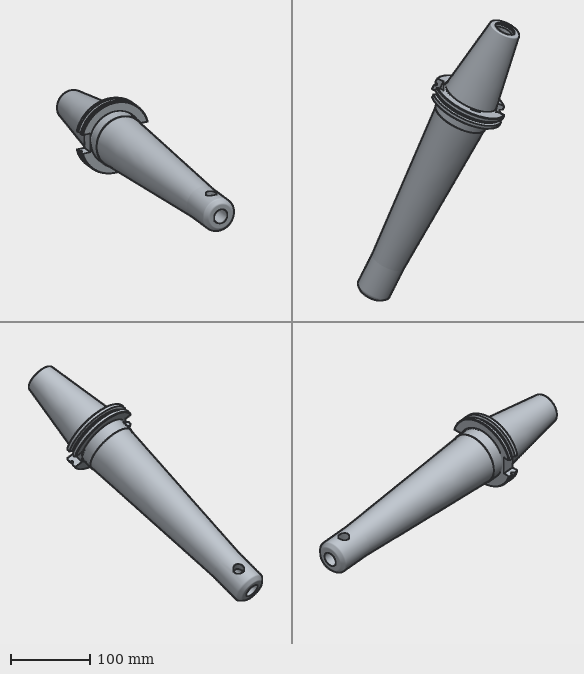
import cadquery as cq
import math

total_length = 406.5
gauge_line = 102.0
flange_front = 104.5
flange_rear = 120.7
collar_end = 136.0
nose_start = 357.0

small_end_diameter = 40.5
neck_diameter = 70.5
collar_diameter = 70.0
shank_start_diameter = 68.5
nose_diameter = 44.5
flange_diameter = 97.0
small_end_rounding = 1.5
nose_chamfer = 5.3
nose_blend = 1.2
root_radius = 1.2
flange_chamfer = 1.0

groove_center = 112.5
groove_width = 5.5
groove_depth = 3.3
groove_half_angle = math.radians(30)

slot_width = 25.5
slot_floor_plus_y = 38.0
slot_floor_minus_y = 35.5

bore_diameter = 19.0
thread_diameter = 22.0
counterbore_diameter = 26.0
mouth_diameter = 27.0
counterbore_depth = 2.5
thread_depth = 44.7
screw_hole_diameter = 14.2
screw_hole_position = 381.0


def make_body():
    """Revolve the tapered holder with its flange and groove about X."""
    flange_radius = flange_diameter / 2
    groove_floor = flange_radius - groove_depth
    groove_half_top = groove_width / 2
    groove_half_floor = groove_half_top - groove_depth * math.tan(groove_half_angle)
    neck_radius = neck_diameter / 2
    collar_radius = collar_diameter / 2
    nose_radius = nose_diameter / 2
    nose_tip_radius = nose_radius - nose_chamfer
    nose_chamfer_start = total_length - nose_chamfer
    blend_diagonal = nose_blend * math.sqrt(0.5)
    profile = (
        cq.Workplane("XY")
        .lineTo(0, small_end_diameter / 2 - small_end_rounding)
        .tangentArcPoint((small_end_rounding, small_end_diameter / 2), relative=False)
        .lineTo(gauge_line, neck_radius)
        .lineTo(flange_front - root_radius, neck_radius)
        .tangentArcPoint((flange_front, neck_radius + root_radius), relative=False)
        .lineTo(flange_front, flange_radius - flange_chamfer)
        .lineTo(flange_front + flange_chamfer, flange_radius)
        .lineTo(groove_center - groove_half_top, flange_radius)
        .lineTo(groove_center - groove_half_floor, groove_floor)
        .lineTo(groove_center + groove_half_floor, groove_floor)
        .lineTo(groove_center + groove_half_top, flange_radius)
        .lineTo(flange_rear - flange_chamfer, flange_radius)
        .lineTo(flange_rear, flange_radius - flange_chamfer)
        .lineTo(flange_rear, collar_radius + root_radius)
        .tangentArcPoint((flange_rear + root_radius, collar_radius), relative=False)
        .lineTo(collar_end, collar_radius)
        .lineTo(collar_end, shank_start_diameter / 2)
        .lineTo(nose_start, nose_radius)
        .lineTo(nose_chamfer_start - nose_blend, nose_radius)
        .tangentArcPoint(
            (nose_chamfer_start + blend_diagonal, nose_radius - blend_diagonal), relative=False
        )
        .lineTo(total_length - blend_diagonal, nose_tip_radius + blend_diagonal)
        .tangentArcPoint((total_length, nose_tip_radius - nose_blend), relative=False)
        .lineTo(total_length, 0)
        .close()
    )
    return profile.revolve(360, (0, 0, 0), (1, 0, 0))


def make_drive_slot(side, floor):
    """Block that cuts one drive slot through the flange on the given Y side."""
    slot_length = flange_rear - flange_front + 2 * root_radius
    slot_depth = flange_diameter / 2 - floor
    middle_x = (flange_front + flange_rear) / 2
    middle_y = side * (floor + slot_depth / 2)
    return cq.Workplane("XY").box(slot_length, slot_depth, slot_width).translate((middle_x, middle_y, 0))


def make_bore():
    """Stepped through bore, opening from the small end of the taper."""
    mouth_cone_depth = (mouth_diameter - counterbore_diameter) / 2
    counterbore_cone_depth = (counterbore_diameter - thread_diameter) / 2
    outline = [
        (0, 0),
        (0, mouth_diameter / 2),
        (mouth_cone_depth, counterbore_diameter / 2),
        (counterbore_depth, counterbore_diameter / 2),
        (counterbore_depth + counterbore_cone_depth, thread_diameter / 2),
        (thread_depth, thread_diameter / 2),
        (thread_depth, bore_diameter / 2),
        (total_length, bore_diameter / 2),
        (total_length, 0),
    ]
    return cq.Workplane("XY").polyline(outline).close().revolve(360, (0, 0, 0), (1, 0, 0))


def make_screw_hole():
    """Radial hole from the top of the nose into the bore."""
    return (
        cq.Workplane("XY")
        .center(screw_hole_position, 0)
        .circle(screw_hole_diameter / 2)
        .extrude(nose_diameter)
    )


result = (
    make_body()
    .cut(make_drive_slot(1, slot_floor_plus_y))
    .cut(make_drive_slot(-1, slot_floor_minus_y))
    .cut(make_bore())
    .cut(make_screw_hole())
)